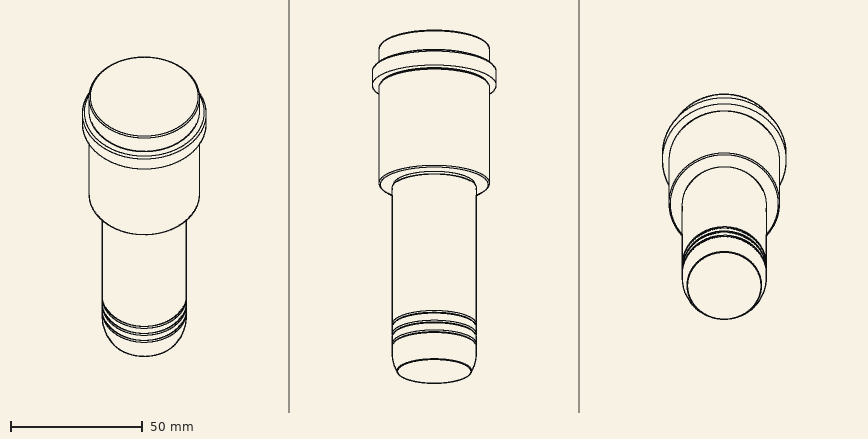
import cadquery as cq

total_height = 130.0
head_radius = 21.0
collar_radius = 23.5
shank_radius = 16.0
nose_radius = 14.2

collar_top = 121.3
collar_bottom = 114.9
head_bottom = 75.0
nose_height = 6.9

head_chamfer = 0.5
collar_chamfer = 0.8
nose_chamfer = 0.3

relief_depth = 0.5
collar_relief_width = 0.3
shank_relief_width = 1.2

ring_groove_count = 3
ring_groove_pitch = 3.9
ring_groove_width = 1.0
ring_groove_depth = 0.5
lowest_groove_bottom = 10.1


def cylinder(radius, bottom, top):
    return cq.Workplane("XY").workplane(offset=bottom).circle(radius).extrude(top - bottom)


def turn(profile):
    """Revolve a closed XZ profile about the Z axis."""
    return profile.revolve(360, (0, 0, 0), (0, 1, 0))


def make_ring_groove(bottom):
    """V-shaped ring to cut from the shank."""
    outside = shank_radius + ring_groove_depth
    middle = bottom + ring_groove_width / 2
    profile = (
        cq.Workplane("XZ")
        .moveTo(shank_radius - ring_groove_depth, middle)
        .lineTo(outside, middle + ring_groove_width)
        .lineTo(outside, middle - ring_groove_width)
        .close()
    )
    return turn(profile)


def make_shank():
    """Shank with a neck at its top and a nose that narrows along an arc tangent to its side."""
    nose_inset = shank_radius - nose_radius
    arc_height = nose_height - nose_chamfer
    arc_radius = (arc_height**2 + nose_inset**2) / (2 * nose_inset)
    neck_bottom = head_bottom - shank_relief_width
    neck_radius = shank_radius - relief_depth
    profile = (
        cq.Workplane("XZ")
        .lineTo(nose_radius - nose_chamfer, 0)
        .lineTo(nose_radius, nose_chamfer)
        .radiusArc((shank_radius, nose_height), -arc_radius)
        .lineTo(shank_radius, neck_bottom)
        .lineTo(neck_radius, neck_bottom)
        .lineTo(neck_radius, head_bottom)
        .lineTo(0, head_bottom)
        .close()
    )
    shank = turn(profile)
    for index in range(ring_groove_count):
        shank = shank.cut(make_ring_groove(lowest_groove_bottom + index * ring_groove_pitch))
    return shank


def make_head():
    """Guide body and crown, chamfered at both ends and joined by a core that forms the necks."""
    guide_top = collar_bottom - collar_relief_width
    crown_bottom = collar_top + collar_relief_width
    guide = cylinder(head_radius, head_bottom, guide_top).edges().chamfer(head_chamfer)
    crown = cylinder(head_radius, crown_bottom, total_height).edges().chamfer(head_chamfer)
    core = cylinder(head_radius - relief_depth, guide_top, crown_bottom)
    return guide.union(core).union(crown)


def make_collar():
    return cylinder(collar_radius, collar_bottom, collar_top).faces(">Z").edges().chamfer(collar_chamfer)


result = make_shank().union(make_head()).union(make_collar())